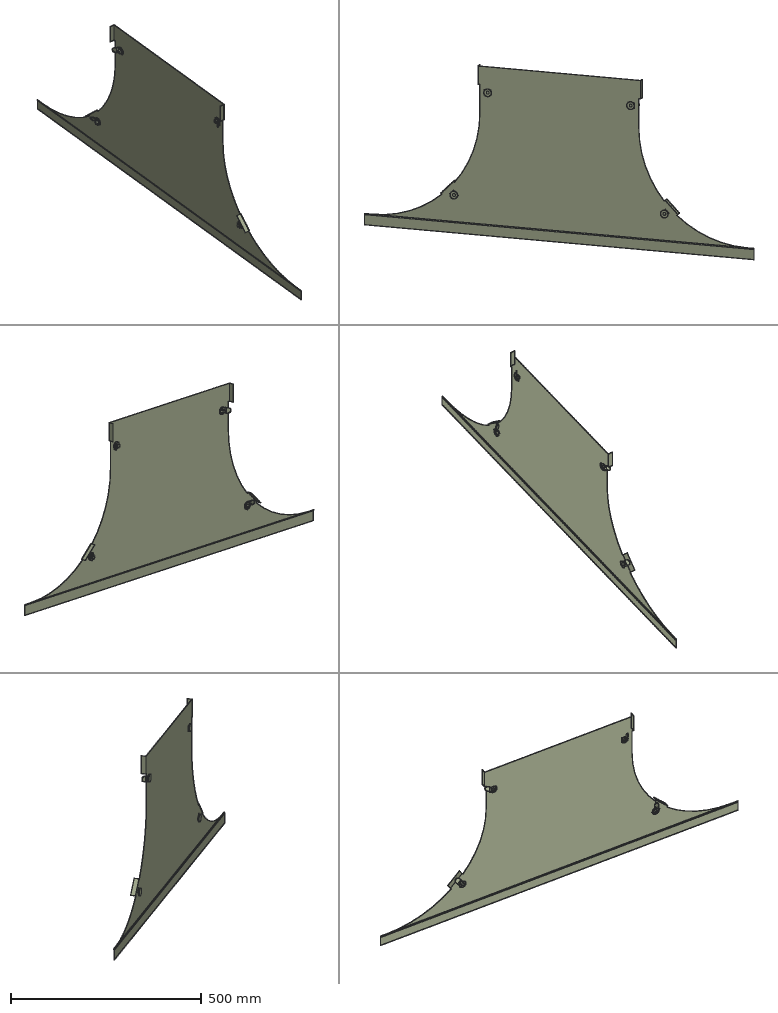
import cadquery as cq
import math

cover_length = 1090.0
cover_depth = 16.98
cover_height = 458.0

sheet = 1.25
branch_half_width = 222.5
corner_radius = 300.0
joggle_top = 30.5
joggle_bottom = 27.5
rim_setback = sheet
corner_x = branch_half_width + corner_radius
corner_z = joggle_top + corner_radius

lip_length = 50.0
lip_offset = 5.25
tab_root = 20.0

latch_inset = 22.5
upper_latch_drop = 70.0

head_radius = 10.5
head_thickness = 3.0
shaft_radius = 4.0
block_inner = 8.0
block_inner_tip = 5.0
block_outer = 3.5
block_front = 8.0
block_width = 6.5

lever_width = 15.0
foot_thickness = 1.0
foot_front = sheet + foot_thickness
foot_inner = 8.5
leg_inner = 7.5
leg_outer = 10.5
leg_bend_front = 8.0
leg_bend_rear = 6.0
tip_inner = 16.5
tip_reach = 19.0
tip_rear = 13.0
lip_depth = cover_depth - head_thickness

diagonal = math.sqrt(0.5) * corner_radius
arc_mid_x = corner_x - diagonal
arc_mid_z = corner_z - diagonal
LEFT, RIGHT, LEFT_DIAGONAL, RIGHT_DIAGONAL = 0, 180, 45, 135


def on_edge(shape, x, z, angle):
    """Move a shape built at the origin with -X outward to a point on the cover's edge."""
    return shape.rotate((0, 0, 0), (0, 1, 0), angle).translate((x, 0, z))


def edge_frames(branch_z):
    """One place on each side of the branch and one halfway along each corner arc."""
    return [
        (-branch_half_width, branch_z, LEFT),
        (branch_half_width, branch_z, RIGHT),
        (-arc_mid_x, arc_mid_z, LEFT_DIAGONAL),
        (arc_mid_x, arc_mid_z, RIGHT_DIAGONAL),
    ]


def box(x0, x1, y0, y1, z0, z1):
    return cq.Workplane("XY").box(x1 - x0, y1 - y0, z1 - z0, centered=False).translate((x0, y0, z0))


def make_sheet():
    half = cover_length / 2
    plate = (
        cq.Workplane("XZ")
        .moveTo(-half, joggle_top)
        .lineTo(-corner_x, joggle_top)
        .threePointArc((-arc_mid_x, arc_mid_z), (-branch_half_width, corner_z))
        .lineTo(-branch_half_width, cover_height)
        .lineTo(branch_half_width, cover_height)
        .lineTo(branch_half_width, corner_z)
        .threePointArc((arc_mid_x, arc_mid_z), (corner_x, joggle_top))
        .lineTo(half, joggle_top)
        .close()
        .extrude(sheet)
    )
    rim = (
        cq.Workplane("YZ", origin=(-half, 0, 0))
        .moveTo(0, joggle_top)
        .lineTo(-sheet, joggle_top)
        .lineTo(rim_setback - sheet, joggle_bottom)
        .lineTo(rim_setback - sheet, 0)
        .lineTo(rim_setback, 0)
        .lineTo(rim_setback, joggle_bottom)
        .close()
        .extrude(cover_length)
    )
    return plate.union(rim)


def make_lip():
    tab = box(-lip_offset, tab_root, -sheet, 0, -lip_length / 2, lip_length / 2)
    lip = box(-lip_offset, sheet - lip_offset, -lip_depth, 0, -lip_length / 2, lip_length / 2)
    return tab.union(lip)


def make_cover():
    cover = make_sheet()
    for frame in edge_frames(cover_height - lip_length / 2):
        cover = cover.union(on_edge(make_lip(), *frame))
    shaft_hole = cq.Workplane("XZ").center(latch_inset, 0).circle(shaft_radius).extrude(sheet)
    for frame in edge_frames(cover_height - upper_latch_drop):
        cover = cover.cut(on_edge(shaft_hole, *frame))
    return cover


def make_knob():
    head = cq.Workplane("XZ").circle(head_radius).extrude(-head_thickness)
    shaft = cq.Workplane("XZ").circle(shaft_radius).extrude(foot_front)
    block = (
        cq.Workplane("XY", origin=(0, 0, -block_width / 2))
        .moveTo(-block_outer, -foot_front)
        .lineTo(block_inner, -foot_front)
        .lineTo(block_inner_tip, -block_front)
        .lineTo(-block_outer, -block_front)
        .close()
        .extrude(block_width)
    )
    return head.union(shaft).union(block).translate((latch_inset, 0, 0))


def make_lever():
    lever = (
        cq.Workplane("XY", origin=(0, 0, -lever_width / 2))
        .moveTo(foot_inner, -sheet)
        .lineTo(foot_inner, -foot_front)
        .lineTo(-leg_inner, -foot_front)
        .lineTo(-leg_inner, -leg_bend_front)
        .lineTo(-tip_inner, -lip_depth)
        .lineTo(-tip_reach, -lip_depth)
        .lineTo(-tip_reach, -tip_rear)
        .lineTo(-leg_outer, -leg_bend_rear)
        .lineTo(-leg_outer, -sheet)
        .close()
        .extrude(lever_width)
    )
    tip_radius = lever_width / 2
    rounded_plan = (
        cq.Workplane("XZ")
        .moveTo(foot_inner, -tip_radius)
        .lineTo(foot_inner, tip_radius)
        .lineTo(tip_radius - tip_reach, tip_radius)
        .threePointArc((-tip_reach, 0), (tip_radius - tip_reach, -tip_radius))
        .close()
        .extrude(lip_depth)
    )
    lever = lever.intersect(rounded_plan)
    shaft_hole = cq.Workplane("XZ").circle(shaft_radius).extrude(foot_front)
    return lever.cut(shaft_hole).translate((latch_inset, 0, 0))


cover = make_cover()
bodies = [cover.val()]
for frame in edge_frames(cover_height - upper_latch_drop):
    bodies.append(on_edge(make_knob(), *frame).val())
    bodies.append(on_edge(make_lever(), *frame).val())

result = cq.Compound.makeCompound(bodies)